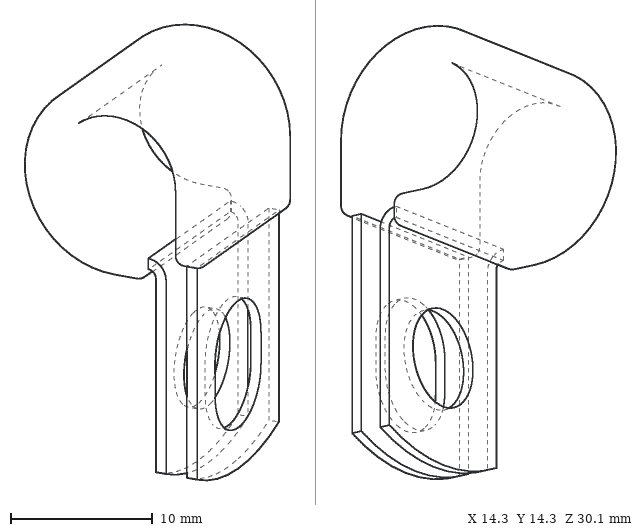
import cadquery as cq
import math

overall_height = 30.1
cushion_width = 14.3
outer_radius = 7.15
cushion_thickness = 2.4
edge_radius = 0.75
long_leg_length = 5.57
short_leg_length = 2.5
strap_thickness = 0.8
bend_inner_radius = 0.6
hole_diameter = 7.15
slot_straight = 2.4
hole_drop = 15.05
tip_arc_height = 1.35

inner_radius = outer_radius - cushion_thickness
middle_radius = outer_radius - cushion_thickness / 2
strap_outer = middle_radius + strap_thickness / 2
strap_inner = middle_radius - strap_thickness / 2
strap_width = cushion_width - 2 * edge_radius
bend_outer_radius = bend_inner_radius + strap_thickness
bend_center_z = -strap_outer - bend_inner_radius
tab_outer_x = short_leg_length + bend_outer_radius
tab_inner_x = short_leg_length + bend_inner_radius
tip_z = outer_radius - overall_height
shoulder_z = tip_z + tip_arc_height
diagonal = math.sqrt(0.5)


def extrude_centered(profile, width):
    """Extrude an XZ profile symmetrically about the plane Y = 0."""
    return profile.extrude(width / 2, both=True)


def make_cushion():
    """Open rounded loop with one vertical and one horizontal leg."""
    profile = (
        cq.Workplane("XZ")
        .moveTo(outer_radius, -long_leg_length)
        .lineTo(outer_radius, 0)
        .threePointArc((0, outer_radius), (-outer_radius, 0))
        .threePointArc((-outer_radius * diagonal, -outer_radius * diagonal), (0, -outer_radius))
        .lineTo(short_leg_length, -outer_radius)
        .lineTo(short_leg_length, -inner_radius)
        .lineTo(0, -inner_radius)
        .threePointArc((-inner_radius * diagonal, -inner_radius * diagonal), (-inner_radius, 0))
        .threePointArc((0, inner_radius), (inner_radius, 0))
        .lineTo(inner_radius, -long_leg_length)
        .close()
    )
    body = extrude_centered(profile, cushion_width)
    rim_edges = body.faces("<Y or >Y").edges()
    short_leg_end = body.faces(cq.selectors.NearestToPointSelector((short_leg_length, 0, -middle_radius)))
    long_leg_end = body.faces(cq.selectors.NearestToPointSelector((middle_radius, 0, -long_leg_length)))
    rounded_edges = rim_edges.add(short_leg_end.edges("|Y")).add(long_leg_end.edges("|Y"))
    return rounded_edges.fillet(edge_radius)


def make_straight_tab():
    """Vertical strap end below the long leg, rooted inside the cushion."""
    return cq.Workplane("XY").box(
        strap_thickness, strap_width, -tip_z, centered=(True, True, False)
    ).translate((middle_radius, 0, tip_z))


def make_bent_tab():
    """Strap leaving the short leg and bending down into a vertical tab."""
    profile = (
        cq.Workplane("XZ")
        .moveTo(0, -strap_inner)
        .lineTo(short_leg_length, -strap_inner)
        .threePointArc(
            (short_leg_length + bend_outer_radius * diagonal, bend_center_z + bend_outer_radius * diagonal),
            (tab_outer_x, bend_center_z),
        )
        .lineTo(tab_outer_x, tip_z)
        .lineTo(tab_inner_x, tip_z)
        .lineTo(tab_inner_x, bend_center_z)
        .threePointArc(
            (short_leg_length + bend_inner_radius * diagonal, bend_center_z + bend_inner_radius * diagonal),
            (short_leg_length, -strap_outer),
        )
        .lineTo(0, -strap_outer)
        .close()
    )
    return extrude_centered(profile, strap_width)


def make_tab_outline():
    """Envelope that gives both tabs their curved lower ends."""
    half_width = strap_width / 2
    return (
        cq.Workplane("YZ")
        .moveTo(-half_width, 0)
        .lineTo(-half_width, shoulder_z)
        .threePointArc((0, tip_z), (half_width, shoulder_z))
        .lineTo(half_width, 0)
        .close()
        .extrude(outer_radius)
    )


def make_bolt_hole():
    """Round cutter for the bent tab."""
    return (
        cq.Workplane("YZ")
        .center(0, -hole_drop)
        .circle(hole_diameter / 2)
        .extrude(outer_radius)
    )


def make_bolt_slot():
    """Vertical slot cutter for the straight tab."""
    return (
        cq.Workplane("YZ")
        .center(0, -hole_drop)
        .slot2D(hole_diameter + slot_straight, hole_diameter, 90)
        .extrude(outer_radius)
    )


tab_outline = make_tab_outline()
straight_tab = make_straight_tab().intersect(tab_outline).cut(make_bolt_slot())
bent_tab = make_bent_tab().intersect(tab_outline).cut(make_bolt_hole())
result = make_cushion().union(straight_tab).union(bent_tab)